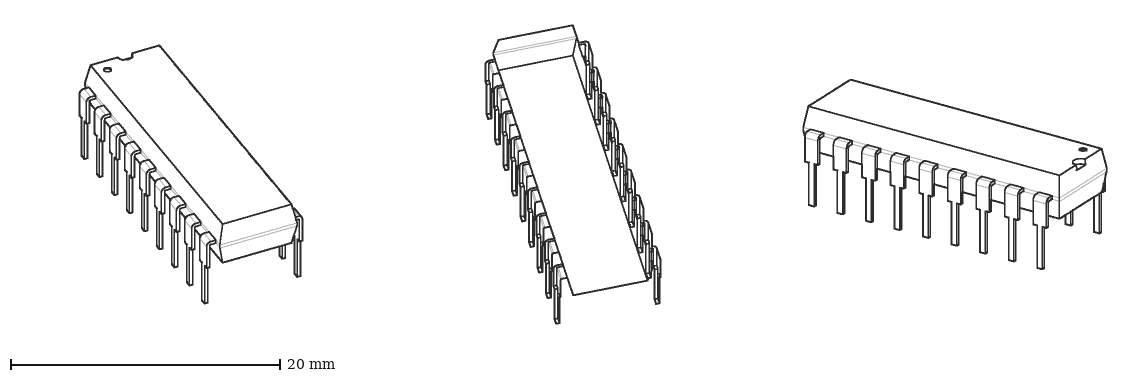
import cadquery as cq

BODY_LENGTH = 22.8
BODY_WIDTH = 6.38
BODY_HEIGHT = 3.55
BAND_THICKNESS = 0.27
END_TAPER = 0.23
SIDE_TAPER = 0.35
BAND_TOP = BAND_THICKNESS / 2
BODY_TOP = BODY_HEIGHT / 2
TAPERED_HEIGHT = BODY_TOP - BAND_TOP

LEADS_PER_ROW = 9
LEAD_ROW_LENGTH = 20.31
LEAD_PITCH = LEAD_ROW_LENGTH / (LEADS_PER_ROW - 1)
LEAD_SPAN = 7.93
LEAD_THICKNESS = BAND_THICKNESS
LEAD_TOP = LEAD_THICKNESS / 2
LEAD_WIDTH = 1.16
TIP_WIDTH = 0.48
OVERALL_HEIGHT = 7.45
SHOULDER_DROP = 4.0
BEND_OUTER_RADIUS = 0.36
BEND_INNER_RADIUS = BEND_OUTER_RADIUS - LEAD_THICKNESS
LEAD_EMBED = 0.45
LEAD_BOTTOM = BODY_TOP - OVERALL_HEIGHT
SHOULDER_Z = BODY_TOP - SHOULDER_DROP

NOTCH_RADIUS = 0.6
NOTCH_DEPTH = 0.43
DOT_RADIUS = 0.27
DOT_DEPTH = 0.1
DOT_X = -10.1
DOT_Y = -1.95


def tapered_half():
    """Upper half of the body, narrowing from the band to the top face."""
    return (
        cq.Workplane("XY")
        .workplane(offset=BAND_TOP)
        .rect(BODY_LENGTH, BODY_WIDTH)
        .workplane(offset=TAPERED_HEIGHT)
        .rect(BODY_LENGTH - 2 * END_TAPER, BODY_WIDTH - 2 * SIDE_TAPER)
        .loft(ruled=True)
    )


def moulded_body():
    band = cq.Workplane("XY").box(BODY_LENGTH, BODY_WIDTH, BAND_THICKNESS)
    upper = tapered_half()
    return band.union(upper).union(upper.mirror("XY"))


def top_recess(x, y, radius, depth):
    """Cylinder that cuts a round recess into the top face."""
    return (
        cq.Workplane("XY")
        .workplane(offset=BODY_TOP - depth)
        .center(x, y)
        .circle(radius)
        .extrude(depth)
    )


def front_lead():
    """Lead on the -Y side: out of the band, bent down, stepped to a thin tip."""
    inner_end = -BODY_WIDTH / 2 + LEAD_EMBED
    outer_face = -LEAD_SPAN / 2
    inner_face = outer_face + LEAD_THICKNESS
    strip = (
        cq.Workplane("YZ")
        .moveTo(inner_end, -LEAD_TOP)
        .lineTo(inner_end, LEAD_TOP)
        .lineTo(outer_face, LEAD_TOP)
        .lineTo(outer_face, LEAD_BOTTOM)
        .lineTo(inner_face, LEAD_BOTTOM)
        .lineTo(inner_face, -LEAD_TOP)
        .close()
        .extrude(LEAD_WIDTH / 2, both=True)
    )
    strip = strip.edges("|X and >Z and <Y").fillet(BEND_OUTER_RADIUS)
    inside_corner = cq.selectors.NearestToPointSelector((0, inner_face, -LEAD_TOP))
    strip = strip.edges("|X").edges(inside_corner).fillet(BEND_INNER_RADIUS)

    tip_height = SHOULDER_Z - LEAD_BOTTOM
    side_waste_width = (LEAD_WIDTH - TIP_WIDTH) / 2
    for side in (-1, 1):
        waste_centre = (
            side * (TIP_WIDTH + side_waste_width) / 2,
            outer_face + LEAD_THICKNESS / 2,
            LEAD_BOTTOM + tip_height / 2,
        )
        waste = cq.Workplane("XY").box(side_waste_width, LEAD_THICKNESS, tip_height)
        strip = strip.cut(waste.translate(waste_centre))
    return strip


body = moulded_body()
notch_x = -BODY_LENGTH / 2 + END_TAPER
body = body.cut(top_recess(notch_x, 0, NOTCH_RADIUS, NOTCH_DEPTH))
body = body.cut(top_recess(DOT_X, DOT_Y, DOT_RADIUS, DOT_DEPTH))

lead = front_lead()
opposite_lead = lead.mirror("XZ")
for index in range(LEADS_PER_ROW):
    lead_x = index * LEAD_PITCH - LEAD_ROW_LENGTH / 2
    body = body.union(lead.translate((lead_x, 0, 0)))
    body = body.union(opposite_lead.translate((lead_x, 0, 0)))

result = body